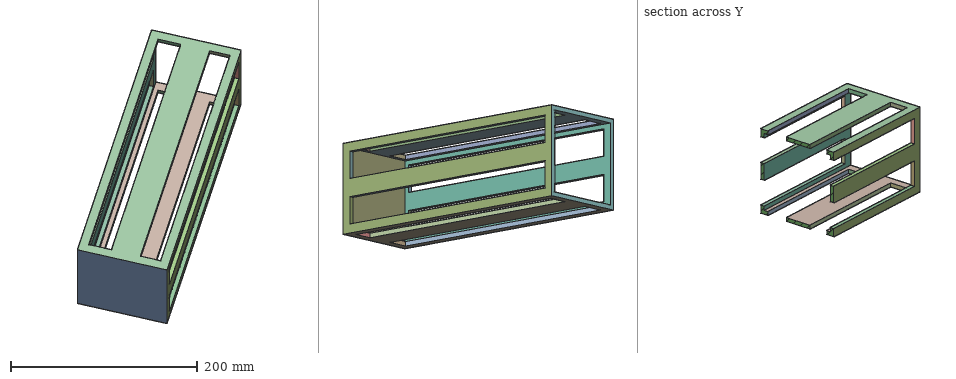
import cadquery as cq

length = 300.0
side = length / 3
border = side / 10
wall = side / 20

window_length = length - 2 * border
side_window_height = 0.3 * side
left_window_width = 25.2
right_window_width = 22.5


def window_cutter(x_start, z_start, x_size, z_size):
    """Box spanning the window length, placed by its lower X and Z corner."""
    return cq.Workplane("XY").box(x_size, window_length, z_size, centered=False).translate(
        (x_start, border, z_start)
    )


shell = cq.Workplane("XY").box(side, length, side, centered=False)
cavity = (
    cq.Workplane("XY")
    .box(side - 2 * wall, length - wall, side - 2 * wall, centered=False)
    .translate((wall, wall, wall))
)
result = shell.cut(cavity)

right_window_start = side - border - right_window_width
for x_start, width in ((border, left_window_width), (right_window_start, right_window_width)):
    result = result.cut(window_cutter(x_start, 0, width, side))

for z_start in (border, side - border - side_window_height):
    result = result.cut(window_cutter(0, z_start, side, side_window_height))